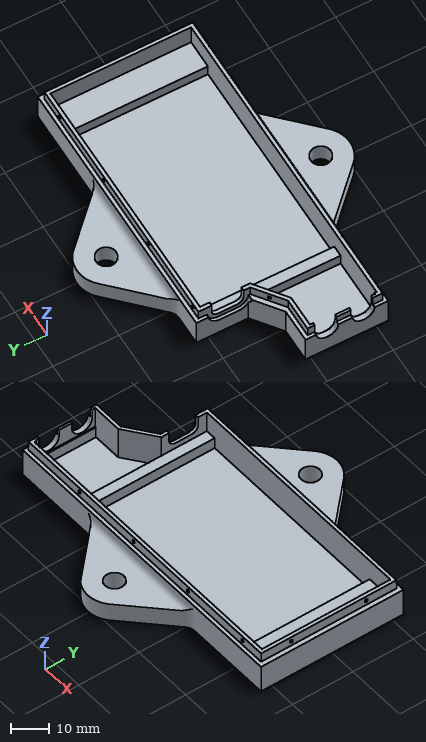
import cadquery as cq
import math

body_length = 102.5
body_width = 47.27
total_height = 12.18
ledge_height = 9.1
lip_thickness = 1.16

bay_back = 25.1
slope_start_x = 10.38
box_left = 18.9
slope_end_y = 31.5
slope_angle = math.atan2(slope_end_y - bay_back, box_left - slope_start_x)

lip_setback_left = 1.0
lip_setback_right = 1.5
lip_setback_side = 1.2
lip_setback_slope = 1.5
bay_wall_inside = lip_setback_left + lip_thickness
box_lip_outside = box_left + lip_setback_left
box_wall_inside = box_lip_outside + lip_thickness

floor_height = 1.7
step_height = 5.35
rib_right = 24.4
end_block_left = 90.95

ear_hole_diameter = 6.1
ear_height = 6.0
ear_radius = 8.85
overall_width = 82.67
ear_reach = (overall_width - body_width) / 2
ear_x = 51.0
ear_side_fillet = 3.8
ear_top_fillet = 2.1
ear_side_angle = math.radians(45)

bay_notch_radius = 3.3
bay_notch_centres = (7.46, 18.42)
bay_notch_tab_height = 11.25

relief_depth = 0.35
relief_y_front = 3.0

connector_y_front = 34.5
connector_y_back = 39.9
connector_outer_radius = 3.6
connector_inner_radius = 2.1
connector_z = 9.3

bump_radius = 0.55
bump_protrusion = 0.3
bump_z = 10.7
side_bump_count = 4
side_bump_start = 22.95
side_bump_pitch = 23.35
end_bump_ys = (11.2, 36.0)


def tray_outline(left, right, side, slope):
    """Corner points of the stepped outline, each wall moved inward by its own setback."""
    bay_y = bay_back - side
    box_x = box_left + left
    slope_drop = slope / math.cos(slope_angle)

    def slope_y(x):
        return bay_back + (x - slope_start_x) * math.tan(slope_angle) - slope_drop

    bend_x = slope_start_x + (bay_y + slope_drop - bay_back) / math.tan(slope_angle)
    return [
        (left, side),
        (body_length - right, side),
        (body_length - right, body_width - side),
        (box_x, body_width - side),
        (box_x, slope_y(box_x)),
        (bend_x, bay_y),
        (left, bay_y),
    ]


def prism(points, bottom, top):
    return cq.Workplane("XY").workplane(offset=bottom).polyline(points).close().extrude(top - bottom)


def block(x0, x1, y0, y1, z0, z1):
    return cq.Workplane("XY").box(x1 - x0, y1 - y0, z1 - z0, centered=False).translate((x0, y0, z0))


def inner_outline():
    return tray_outline(
        bay_wall_inside,
        lip_setback_right + lip_thickness,
        lip_setback_side + lip_thickness,
        lip_setback_slope + lip_thickness,
    )


def make_tray():
    body = prism(tray_outline(0, 0, 0, 0), 0, ledge_height)
    lip_outline = tray_outline(lip_setback_left, lip_setback_right, lip_setback_side, lip_setback_slope)
    lip = prism(lip_outline, ledge_height, total_height)
    cavity = prism(inner_outline(), floor_height, total_height)
    rib = block(box_wall_inside, rib_right, 0, body_width, floor_height, step_height)
    end_block = block(end_block_left, body_length, 0, body_width, floor_height, step_height)
    return body.union(lip).cut(cavity.cut(rib).cut(end_block))


def make_ear():
    """Front ear: a 45 degree triangle with a round tip, blended into the body wall."""
    tip_y = ear_radius - ear_reach
    tangent_x = ear_radius * math.sin(ear_side_angle)
    tangent_y = tip_y - ear_radius * math.cos(ear_side_angle)
    root = tangent_x - tangent_y / math.tan(ear_side_angle)
    half_turn = ear_side_angle / 2
    fillet_length = ear_side_fillet * math.tan(half_turn)
    fillet_end = root + fillet_length
    fillet_start = root - fillet_length * math.cos(ear_side_angle)
    fillet_depth = -fillet_length * math.sin(ear_side_angle)
    fillet_mid_x = fillet_end - ear_side_fillet * math.sin(half_turn)
    fillet_mid_y = -ear_side_fillet * (1 - math.cos(half_turn))
    plan = (
        cq.Workplane("XY")
        .moveTo(-fillet_end, 0)
        .threePointArc((-fillet_mid_x, fillet_mid_y), (-fillet_start, fillet_depth))
        .lineTo(-tangent_x, tangent_y)
        .threePointArc((0, -ear_reach), (tangent_x, tangent_y))
        .lineTo(fillet_start, fillet_depth)
        .threePointArc((fillet_mid_x, fillet_mid_y), (fillet_end, 0))
        .lineTo(fillet_end, lip_setback_side)
        .lineTo(-fillet_end, lip_setback_side)
        .close()
        .extrude(ear_height + ear_top_fillet)
    )
    above_plate = (
        cq.Workplane("YZ")
        .moveTo(0, ear_height + ear_top_fillet)
        .radiusArc((-ear_top_fillet, ear_height), ear_top_fillet)
        .lineTo(-ear_reach, ear_height)
        .lineTo(-ear_reach, ear_height + ear_top_fillet)
        .close()
        .extrude(fillet_end, both=True)
    )
    hole = cq.Workplane("XY").center(0, tip_y).circle(ear_hole_diameter / 2).extrude(ear_height)
    return plan.cut(above_plate).cut(hole).translate((ear_x, 0, 0))


def add_ears(part):
    front_ear = make_ear()
    back_ear = front_ear.mirror("XZ").translate((0, body_width, 0))
    return part.union(front_ear).union(back_ear)


def notch_cutter(y_front, y_back, radius, z, x0, x1):
    """Open-topped slot along X with rounded bottom corners centred at y_front and y_back."""
    cutter = block(x0, x1, y_front - radius, y_back + radius, z, total_height)
    for y in (y_front, y_back):
        round_bottom = cq.Workplane("YZ").center(y, z).circle(radius).extrude(x1 - x0)
        cutter = cutter.union(round_bottom.translate((x0, 0, 0)))
    if y_back > y_front:
        cutter = cutter.union(block(x0, x1, y_front, y_back, z - radius, z))
    return cutter


def cut_bay_notches(part):
    for y in bay_notch_centres:
        part = part.cut(notch_cutter(y, y, bay_notch_radius, ledge_height, 0, bay_wall_inside))
    tab_y0, tab_y1 = bay_notch_centres
    return part.cut(block(0, bay_wall_inside, tab_y0, tab_y1, bay_notch_tab_height, total_height))


def cut_bay_relief(part):
    relief_y_back = bay_back - lip_setback_side - lip_thickness
    relief_left = bay_wall_inside - relief_depth
    relief = block(relief_left, bay_wall_inside, relief_y_front, relief_y_back, step_height, total_height)
    return part.cut(relief)


def cut_connector_notch(part):
    for radius, x0, x1 in (
        (connector_outer_radius, slope_start_x, box_lip_outside),
        (connector_inner_radius, box_lip_outside, box_wall_inside),
    ):
        part = part.cut(notch_cutter(connector_y_front, connector_y_back, radius, connector_z, x0, x1))
    return part


def make_bump(x, y, outward_angle):
    """Ball sunk into the lip, with its poles on the axis normal to the wall."""
    ball = cq.Workplane("XY").sphere(bump_radius).rotate((0, 0, 0), (0, 1, 0), 90)
    return ball.rotate((0, 0, 0), (0, 0, 1), outward_angle).translate((x, y, bump_z))


def add_bumps(part):
    inset = bump_radius - bump_protrusion
    front_y = lip_setback_side + inset
    back_y = body_width - front_y
    for i in range(side_bump_count):
        x = side_bump_start + i * side_bump_pitch
        part = part.union(make_bump(x, front_y, -90))
        part = part.union(make_bump(x, back_y, 90))

    end_x = body_length - lip_setback_right - inset
    for y in end_bump_ys:
        part = part.union(make_bump(end_x, y, 0))

    slope_inset = lip_setback_slope + inset
    slope_x = (slope_start_x + box_left) / 2 + slope_inset * math.sin(slope_angle)
    slope_y = (bay_back + slope_end_y) / 2 - slope_inset * math.cos(slope_angle)
    return part.union(make_bump(slope_x, slope_y, 90 + math.degrees(slope_angle)))


result = make_tray()
result = add_ears(result)
result = cut_bay_notches(result)
result = cut_bay_relief(result)
result = cut_connector_notch(result)
result = add_bumps(result)